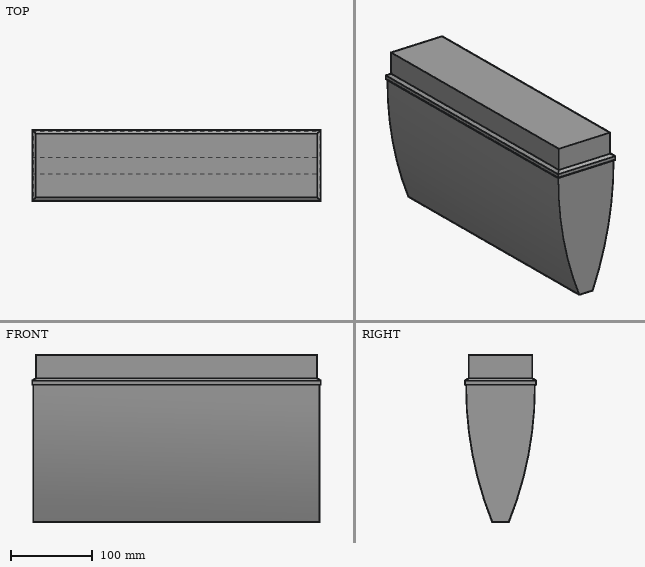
import cadquery as cq

length = 354.0
width = 87.5
height = 205.0

block_inset = 4.5
flange_edge_height = 5.3
flange_slope_height = 3.0

body_height = 168.0
body_inset = 1.5
foot_width = 20.5
mid_width = 69.0
mid_height = 83.0

body_length = length - 2 * body_inset
body_top_width = width - 2 * body_inset

block_length = length - 2 * block_inset
block_width = width - 2 * block_inset
flange_height = flange_edge_height + flange_slope_height
block_height = height - body_height - flange_height


def make_body():
    """Tapered body with a constant cross-section along X and two arched sides."""
    return (
        cq.Workplane("YZ")
        .moveTo(-foot_width / 2, 0)
        .lineTo(foot_width / 2, 0)
        .threePointArc((mid_width / 2, mid_height), (body_top_width / 2, body_height))
        .lineTo(-body_top_width / 2, body_height)
        .threePointArc((-mid_width / 2, mid_height), (-foot_width / 2, 0))
        .close()
        .extrude(body_length / 2, both=True)
    )


def make_cap():
    """Flange resting on the body, with the closing block on top of it."""
    flange = (
        cq.Workplane("XY", origin=(0, 0, body_height))
        .rect(length, width)
        .extrude(flange_height)
        .faces(">Z")
        .edges()
        .chamfer(flange_slope_height, block_inset)
    )
    block = (
        cq.Workplane("XY", origin=(0, 0, body_height + flange_height))
        .rect(block_length, block_width)
        .extrude(block_height)
    )
    return flange.union(block)


body = make_body()
cap = make_cap()

result = cq.Compound.makeCompound([body.val(), cap.val()])